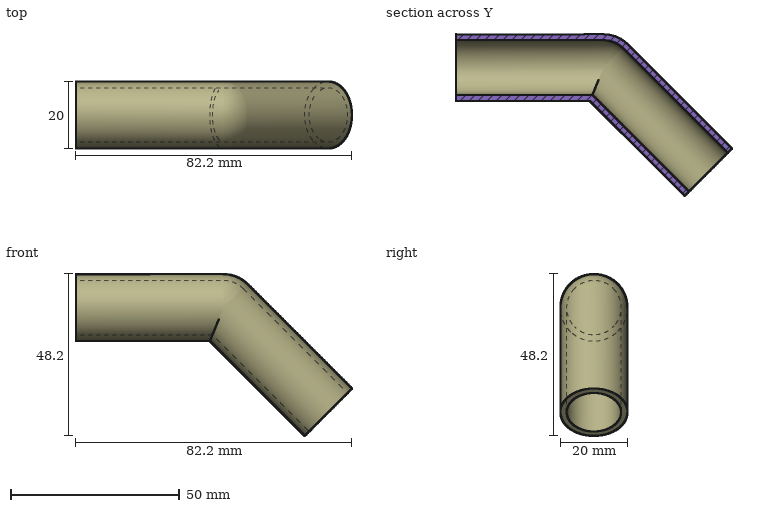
import cadquery as cq

outer_diameter = 20.0
bore_diameter = 16.2
leg_length = 44.0
bend_angle = 45.0

straight_leg_turn = 0.0
sloping_leg_turn = 180.0 + bend_angle


def leg(diameter, turn):
    """Round rod from the bend centre to an open end."""
    rod = cq.Workplane("YZ").circle(diameter / 2).extrude(-leg_length)
    return rod.rotate((0, 0, 0), (0, 1, 0), turn)


def bent_rod(diameter):
    """Two round legs joined by a ball of the same diameter at the bend."""
    ball = cq.Workplane("XY").sphere(diameter / 2)
    straight_leg = leg(diameter, straight_leg_turn)
    sloping_leg = leg(diameter, sloping_leg_turn)
    return straight_leg.union(sloping_leg).union(ball)


result = bent_rod(outer_diameter).cut(bent_rod(bore_diameter))